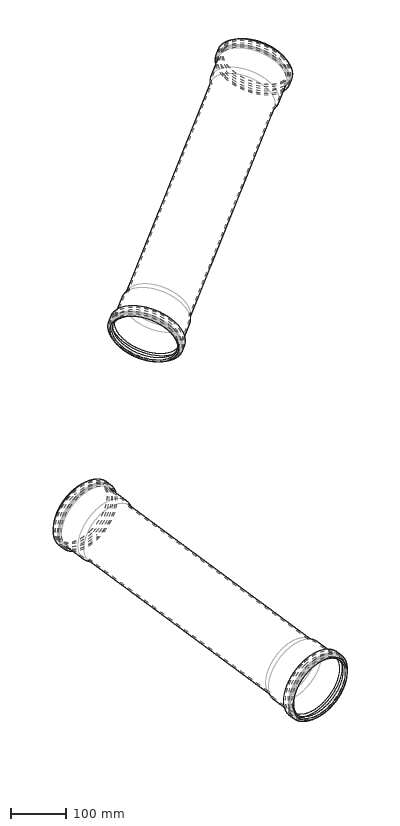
import cadquery as cq

length = 650.0
half_length = length / 2

pipe_outer_radius = 125.0 / 2
pipe_bore_radius = 119.0 / 2

socket_outer_radius = 132.0 / 2
socket_bore_radius = 126.0 / 2
socket_depth = 67.0
taper_length = 12.0
taper_end = socket_depth + taper_length

bead_outer_radius = 144.0 / 2
bead_groove_radius = 139.0 / 2
bead_start = 5.0
bead_end = 20.0
groove_start = 8.0
groove_end = 17.5
bead_corner_radius = 1.0
bead_root_radius = 2.0

mouth_radius = 131.0 / 2
throat_radius = 125.5 / 2
mouth_chamfer_length = 2.0


def symmetric_outline(end_points):
    """Half section about Y whose two ends share the same (radius, depth from mouth) points."""
    front_end = [(radius, depth - half_length) for radius, depth in end_points]
    back_end = [(radius, half_length - depth) for radius, depth in reversed(end_points)]
    return [(0, -half_length)] + front_end + back_end + [(0, half_length)]


def revolved_body(end_points):
    """Solid of revolution about the pipe axis."""
    outline = symmetric_outline(end_points)
    return cq.Workplane("XY").polyline(outline).close().revolve(360, (0, 0, 0), (0, 1, 0))


def edges_at(body, radius, depth):
    """Circular edges of the given radius and depth at both ends."""
    tolerance = 0.05
    found = cq.Workplane(body.val())
    return found.edges("%CIRCLE").filter(
        lambda edge: abs(edge.radius() - radius) < tolerance
        and abs(half_length - abs(edge.Center().y) - depth) < tolerance
    )


def outer_body():
    """Solid exterior with a rounded bead near each mouth."""
    body = revolved_body([
        (socket_outer_radius, 0),
        (socket_outer_radius, bead_start),
        (bead_outer_radius, bead_start),
        (bead_outer_radius, bead_end),
        (socket_outer_radius, bead_end),
        (socket_outer_radius, socket_depth),
        (pipe_outer_radius, taper_end),
    ])
    for depth in (bead_start, bead_end):
        body = edges_at(body, bead_outer_radius, depth).fillet(bead_corner_radius)
        body = edges_at(body, socket_outer_radius, depth).fillet(bead_root_radius)
    return body


def inner_cavity():
    """Bore with sockets, seal grooves and flared mouths."""
    return revolved_body([
        (mouth_radius, 0),
        (throat_radius, mouth_chamfer_length),
        (throat_radius, groove_start),
        (bead_groove_radius, groove_start),
        (bead_groove_radius, groove_end),
        (socket_bore_radius, groove_end),
        (socket_bore_radius, socket_depth),
        (pipe_bore_radius, taper_end),
    ])


result = outer_body().cut(inner_cavity())